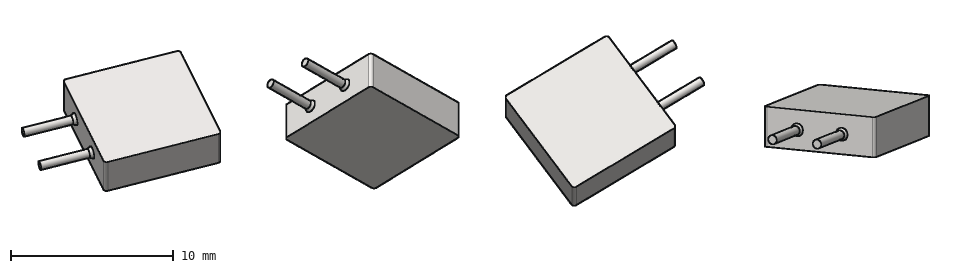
import cadquery as cq

overall_length = 11.03
housing_side = 7.62
housing_height = 2.53
corner_radius = 0.2
lead_diameter = 0.57
lead_spacing = 3.05
boss_base_diameter = 0.8
boss_length = 0.23

boss_tip_diameter = lead_diameter
lead_length = overall_length - housing_side - boss_length
front_face_y = -housing_side / 2
boss_tip_y = front_face_y - boss_length
lead_axis_z = housing_height / 2
lead_positions = [(side * lead_spacing / 2, lead_axis_z) for side in (-1, 1)]


def plane_facing_front(y):
    """Plane parallel to XZ at the given Y; its normal points toward -Y."""
    return cq.Workplane("XZ", origin=(0, y, 0))


def make_boss(axis_x, axis_z):
    """Cone on the front face, narrowing to the lead diameter."""
    return (
        plane_facing_front(front_face_y)
        .center(axis_x, axis_z)
        .circle(boss_base_diameter / 2)
        .workplane(offset=boss_length)
        .circle(boss_tip_diameter / 2)
        .loft(ruled=True)
    )


def make_housing():
    """Square block on Z = 0 with rounded vertical edges and a boss for each lead."""
    body = cq.Workplane("XY").box(
        housing_side, housing_side, housing_height, centered=(True, True, False)
    )
    body = body.edges("|Z").fillet(corner_radius)
    for axis_x, axis_z in lead_positions:
        body = body.union(make_boss(axis_x, axis_z))
    return body


def make_lead(axis_x, axis_z):
    """Straight round lead starting at the tip of its boss."""
    return (
        plane_facing_front(boss_tip_y)
        .center(axis_x, axis_z)
        .circle(lead_diameter / 2)
        .extrude(lead_length)
    )


housing = make_housing()
leads = [make_lead(axis_x, axis_z) for axis_x, axis_z in lead_positions]

result = cq.Compound.makeCompound([housing.val(), *[lead.val() for lead in leads]])